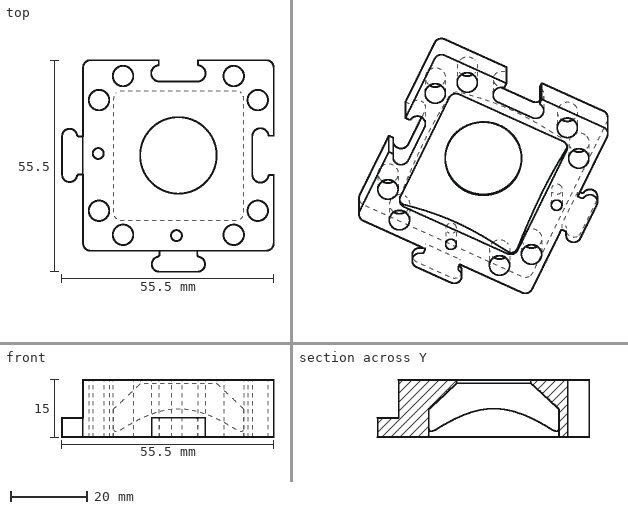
import math

import cadquery as cq

body_side = 50.0
body_height = 15.0
body_corner_radius = 2.0
half_side = body_side / 2
upright = (True, True, False)

tab_reach = 5.5
tab_height = 5.0
tab_neck_width = 10.0
tab_lobe_radius = 2.0
neck_blend_radius = 0.5
socket_clearance = 0.1

bore_diameter = 20.0
bore_depth = 0.9
flare_drop_per_radius = 0.95
cavity_side = 34.0
cavity_corner_radius = 2.0

corner_hole_diameter = 5.3
corner_hole_near = 14.5
corner_hole_far = 20.8
pin_hole_diameter = 2.8
pin_hole_distance = 21.0
pin_hole_offset = 0.5


def make_body():
    """Square block with rounded vertical edges, standing on Z = 0."""
    block = cq.Workplane("XY").box(body_side, body_side, body_height, centered=upright)
    return block.edges("|Z").fillet(body_corner_radius)


def make_key(clearance, height):
    """Key growing toward -Y from the line Y = 0: a neck blended into a wide, round-ended head.

    The outline is grown outward by the clearance, so the lobe and blend arcs keep their centres.
    """
    lobe_x = tab_neck_width / 2
    lobe_y = tab_lobe_radius - tab_reach
    lobe_radius = tab_lobe_radius + clearance
    blend_radius = neck_blend_radius - clearance
    neck_x = lobe_x + clearance

    center_distance = tab_lobe_radius + neck_blend_radius
    blend_angle = math.acos(neck_blend_radius / center_distance)
    blend_x = lobe_x + neck_blend_radius
    blend_y = lobe_y + center_distance * math.sin(blend_angle)
    joint_x = lobe_x + lobe_radius * math.cos(blend_angle)
    joint_y = lobe_y + lobe_radius * math.sin(blend_angle)
    blend_mid_angle = math.pi + blend_angle / 2
    blend_mid_x = blend_x + blend_radius * math.cos(blend_mid_angle)
    blend_mid_y = blend_y + blend_radius * math.sin(blend_mid_angle)

    return (
        cq.Workplane("XY")
        .moveTo(-neck_x, 0)
        .lineTo(-neck_x, blend_y)
        .threePointArc((-blend_mid_x, blend_mid_y), (-joint_x, joint_y))
        .threePointArc((-lobe_x - lobe_radius, lobe_y), (-lobe_x, lobe_y - lobe_radius))
        .lineTo(lobe_x, lobe_y - lobe_radius)
        .threePointArc((lobe_x + lobe_radius, lobe_y), (joint_x, joint_y))
        .threePointArc((blend_mid_x, blend_mid_y), (neck_x, blend_y))
        .lineTo(neck_x, 0)
        .close()
        .extrude(height)
    )


def turn_about_z(shape, angle):
    return shape.rotate((0, 0, 0), (0, 0, 1), angle)


def add_tabs(part):
    """Tabs at the foot of the -Y and -X faces."""
    tab = make_key(0, tab_height).translate((0, -half_side, 0))
    for angle in (0, -90):
        part = part.union(turn_about_z(tab, angle))
    return part


def cut_sockets(part):
    """Full-height sockets in the +Y and +X faces."""
    socket = make_key(socket_clearance, body_height).translate((0, half_side, 0))
    for angle in (0, -90):
        part = part.cut(turn_about_z(socket, angle))
    return part


def cut_opening(part):
    """Bore at the top, with a conical flare below it that is bounded by the square cavity walls."""
    bore_radius = bore_diameter / 2
    flare_height = body_height - bore_depth
    flare_radius = bore_radius + flare_height / flare_drop_per_radius
    opening = (
        cq.Workplane("XZ")
        .moveTo(0, 0)
        .lineTo(flare_radius, 0)
        .lineTo(bore_radius, flare_height)
        .lineTo(bore_radius, body_height)
        .lineTo(0, body_height)
        .close()
        .revolve(360, (0, 0, 0), (0, 1, 0))
    )
    cavity = (
        cq.Workplane("XY")
        .box(cavity_side, cavity_side, body_height, centered=upright)
        .edges("|Z")
        .fillet(cavity_corner_radius)
    )
    return part.cut(opening.intersect(cavity))


def cut_holes(part):
    """A pair of holes at each corner, and one small hole behind each tab."""
    corner_points = []
    for x_sign in (-1, 1):
        for y_sign in (-1, 1):
            corner_points.append((x_sign * corner_hole_near, y_sign * corner_hole_far))
            corner_points.append((x_sign * corner_hole_far, y_sign * corner_hole_near))
    pin_points = [(-pin_hole_distance, pin_hole_offset), (-pin_hole_offset, -pin_hole_distance)]

    base = cq.Workplane("XY")
    corner_holes = base.pushPoints(corner_points).circle(corner_hole_diameter / 2).extrude(body_height)
    pin_holes = base.pushPoints(pin_points).circle(pin_hole_diameter / 2).extrude(body_height)
    return part.cut(corner_holes).cut(pin_holes)


result = make_body()
result = add_tabs(result)
result = cut_sockets(result)
result = cut_opening(result)
result = cut_holes(result)